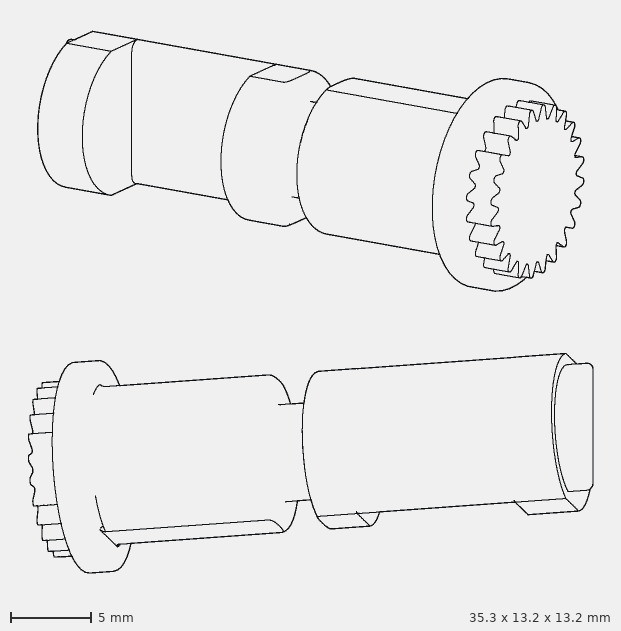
import cadquery as cq
import math

tab_length = 1.62
cap_end = 4.9
slot_end = 15.1
front_body_end = 17.8
barrel_start = 20.55
flange_start = 31.6
flange_end = 33.5
total_length = 35.3

body_radius = 4.95
neck_radius = 3.05
flange_radius = 6.6

edge_round = 0.2
barrel_edge_round = 0.32

flat_height = 9.4

slot_floor_y = 0.9
bar_round = 0.65

tab_radius = 4.25
tab_side_y = 1.02
tab_round = 0.42

tooth_count = 24
tip_round = 0.25
tip_centre_radius = 5.25
root_round = 0.18
flank_lean = 18.0


def cylinder_along_x(radius, start, end):
    return cq.Workplane("YZ", origin=(start, 0, 0)).circle(radius).extrude(end - start)


def polar(radius, degrees, centre=(0, 0)):
    angle = math.radians(degrees)
    return (centre[0] + radius * math.cos(angle), centre[1] + radius * math.sin(angle))


def make_front_body():
    """Slotted body: the bar left beside the slot has rounded long edges."""
    body = cylinder_along_x(body_radius, tab_length, front_body_end)
    body = body.faces(">X").edges().fillet(edge_round)

    slot_depth = slot_floor_y + body_radius
    slot = cq.Workplane("XY").box(
        slot_end - cap_end, slot_depth, 2 * body_radius, centered=(False, False, True)
    ).translate((cap_end, -body_radius, 0))
    body = body.cut(slot)

    bar_edges = cq.selectors.BoxSelector(
        (cap_end, slot_floor_y - edge_round, -body_radius),
        (slot_end, slot_floor_y + edge_round, body_radius),
    )
    return body.edges(bar_edges).edges("|X").fillet(bar_round)


def make_neck():
    """Thin neck that flares into the shoulders at both ends."""
    flare_radius = neck_radius + edge_round
    corner = edge_round * (1 - math.sqrt(0.5))
    return (
        cq.Workplane("XY")
        .moveTo(front_body_end, 0)
        .lineTo(front_body_end, flare_radius)
        .threePointArc(
            (front_body_end + corner, neck_radius + corner),
            (front_body_end + edge_round, neck_radius),
        )
        .lineTo(barrel_start - edge_round, neck_radius)
        .threePointArc(
            (barrel_start - corner, neck_radius + corner),
            (barrel_start, flare_radius),
        )
        .lineTo(barrel_start, 0)
        .close()
        .revolve(360, (0, 0, 0), (1, 0, 0))
    )


def make_barrel_and_flange():
    """Barrel with a rounded front edge, blended into the flange."""
    barrel = cylinder_along_x(body_radius, barrel_start, flange_start)
    barrel = barrel.faces("<X").edges().fillet(barrel_edge_round)
    flange = cylinder_along_x(flange_radius, flange_start, flange_end)
    flange = flange.edges().fillet(edge_round)
    reach = edge_round / 10
    near_joint = cq.selectors.BoxSelector(
        (flange_start - reach, -reach, -reach),
        (flange_start + reach, reach, reach),
    )
    smallest_circle = cq.selectors.RadiusNthSelector(0)
    joined = barrel.union(flange)
    return joined.edges(near_joint).edges(smallest_circle).fillet(edge_round)


def cut_flats(body):
    """Trim everything in front of the flange to the height across the flats."""
    flat_z = flat_height / 2
    for side in (1, -1):
        waste = cq.Workplane("XY").box(
            flange_start - tab_length, 2 * flange_radius, flat_z, centered=(False, True, True)
        ).translate((tab_length, 0, side * 1.5 * flat_z))
        body = body.cut(waste)
    return body


def make_tab():
    """Half disc on the +Y side, with a rounded outer rim."""
    tab = cylinder_along_x(tab_radius, 0, tab_length)
    tab = tab.faces("<X").edges().fillet(tab_round)
    keep = cq.Workplane("XY").box(
        tab_length, tab_radius, 2 * tab_radius, centered=(False, False, True)
    ).translate((0, tab_side_y, 0))
    return tab.intersect(keep)


def make_gear():
    """Gear outline drawn gap to gap around the axis, then extruded to the end."""
    pitch = 360 / tooth_count
    flank_normal = 90 - flank_lean
    root_centre_radius = (
        tip_centre_radius * math.cos(math.radians(flank_normal)) + tip_round + root_round
    ) / math.cos(math.radians(flank_normal - pitch / 2))

    def root_bottom(gap_angle):
        return polar(root_centre_radius - root_round, gap_angle)

    outline = cq.Workplane("YZ", origin=(flange_end, 0, 0)).moveTo(*root_bottom(0))
    for tooth in range(tooth_count):
        gap_angle = tooth * pitch
        tooth_angle = gap_angle + pitch / 2
        next_gap_angle = gap_angle + pitch
        near_normal = tooth_angle - flank_normal
        far_normal = tooth_angle + flank_normal
        near_root = polar(root_centre_radius, gap_angle)
        far_root = polar(root_centre_radius, next_gap_angle)
        tip = polar(tip_centre_radius, tooth_angle)
        near_arc_middle = (gap_angle + near_normal) / 2
        far_arc_middle = (next_gap_angle + far_normal) / 2
        outline = (
            outline
            .threePointArc(
                polar(-root_round, near_arc_middle, near_root),
                polar(-root_round, near_normal, near_root),
            )
            .lineTo(*polar(tip_round, near_normal, tip))
            .threePointArc(
                polar(tip_round, tooth_angle, tip),
                polar(tip_round, far_normal, tip),
            )
            .lineTo(*polar(-root_round, far_normal, far_root))
            .threePointArc(
                polar(-root_round, far_arc_middle, far_root),
                root_bottom(next_gap_angle),
            )
        )
    return outline.close().extrude(total_length - flange_end)


shaft = make_front_body().union(make_neck()).union(make_barrel_and_flange())
result = cut_flats(shaft).union(make_tab()).union(make_gear())